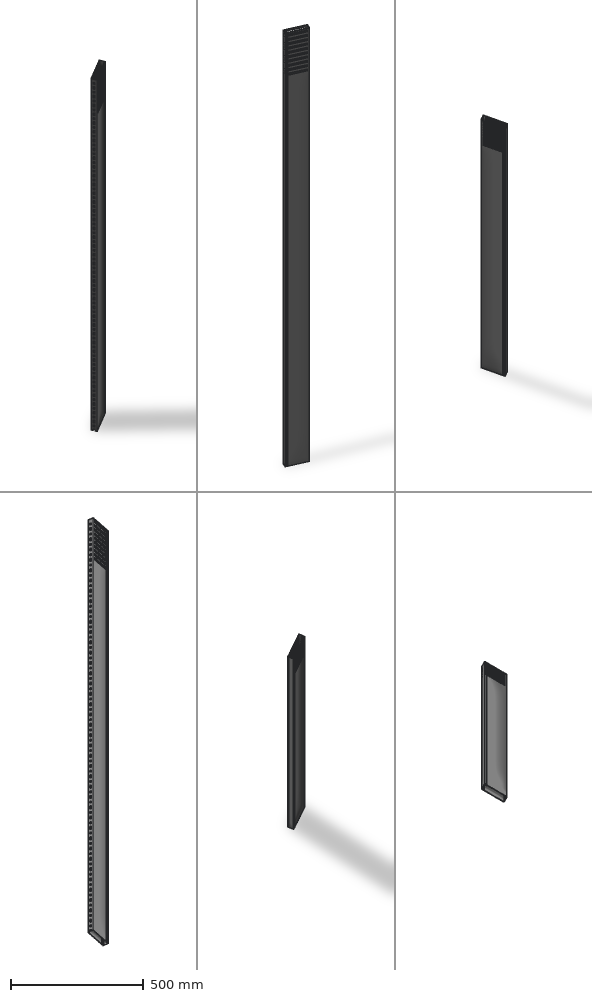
import cadquery as cq


length = 2000.0
depth = 100.0
width = depth / 4

wall = 2.0
corner_radius = 1.5
shoulder_y = 40.0

lid_top = 1.0
lid_side = 2.0
skirt_depth = 5.0

slot_count = 10
slot_pitch = 20.0
slot_height = 8.0
first_slot_drop = 7.5
slot_floor_y = -40.0
neck_height = 2.5
neck_y = 35.0

hole_pairs = 40
pair_pitch = length / hole_pairs
lowest_long_rise = 1.5
round_diameter = 8.0
long_height = 15.0
long_width = 7.0

first_slot_z = length / 2 - first_slot_drop - slot_height / 2
lowest_long_z = -length / 2 + lowest_long_rise
floor_y = -depth / 2
lid_y = depth / 2
tip_y = lid_y - lid_top
tip_width = width - 2 * lid_side
inner_width = tip_width - 2 * wall


def bar(x_size, y_min, y_max, z_size=length, z_center=0.0):
    """Box centred on X and on z_center that spans y_min to y_max."""
    y_center = (y_min + y_max) / 2
    return cq.Workplane("XY").box(x_size, y_max - y_min, z_size).translate((0, y_center, z_center))


def make_shell():
    """Plain U section: rounded trough up to the shoulder, recessed tips above it."""
    trough = bar(width, floor_y, shoulder_y).edges("|Z and <Y").fillet(corner_radius)
    trough = trough.cut(bar(width - 2 * wall, floor_y + wall, shoulder_y - wall))
    tips = bar(tip_width, shoulder_y, tip_y)
    return trough.union(tips).cut(bar(inner_width, floor_y + wall, tip_y))


def cut_slots(base):
    """Open slots leave fingers whose wide heads narrow each slot to a neck."""
    for i in range(slot_count):
        z = first_slot_z - i * slot_pitch
        base = base.cut(bar(width, slot_floor_y, neck_y, slot_height, z))
        base = base.cut(bar(width, neck_y, shoulder_y, neck_height, z))
        base = base.cut(bar(width, shoulder_y, tip_y, slot_height, z))
    return base


def cut_mounting_holes(base):
    """One row along the floor; long and round holes are evenly spaced."""
    long_points = [(0, lowest_long_z + i * pair_pitch) for i in range(hole_pairs)]
    round_points = [(x, z + pair_pitch / 2) for x, z in long_points]
    floor_plane = cq.Workplane("XZ", origin=(0, floor_y + wall, 0))
    round_holes = floor_plane.pushPoints(round_points).circle(round_diameter / 2).extrude(wall)
    long_holes = floor_plane.pushPoints(long_points).slot2D(long_height, long_width, 90).extrude(wall)
    return base.cut(round_holes).cut(long_holes)


def make_lid():
    """Shallow channel whose skirts lie in the recess beside the wall tips."""
    skirt_y = lid_y - skirt_depth
    return bar(width, skirt_y, lid_y).cut(bar(tip_width, skirt_y, tip_y))


base = cut_mounting_holes(cut_slots(make_shell()))
lid = make_lid()

result = cq.Compound.makeCompound([base.val(), lid.val()])